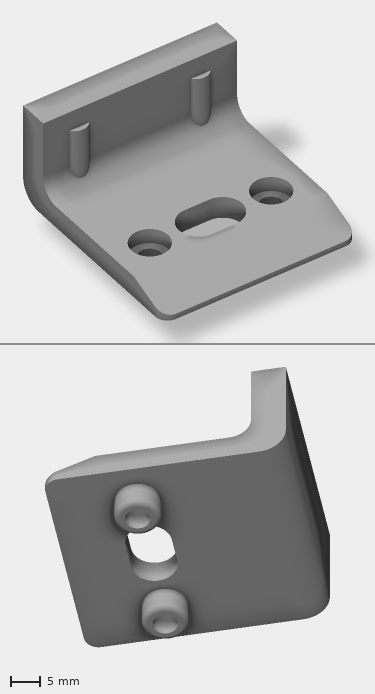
import cadquery as cq

length = 42.0
width = 40.0
wall_height = 20.0
wall_thickness = 6.0
base_thickness = 4.5
outer_bend_radius = 4.5
inner_bend_radius = 3.75

taper_start = 33.0
tip_thickness = 1.15
tip_corner_radius = 2.5

row_x = 27.0
pair_offset = 12.5
peg_diameter = 8.0
peg_length = 4.5
peg_edge_radius = 1.0
recess_diameter = 7.5
recess_depth = 3.0
bore_diameter = 4.35
slot_width = 8.0
slot_length = 13.0

rib_radius = 2.5
rib_projection = 1.0
rib_top = 16.0

pair_positions = [(row_x, -pair_offset), (row_x, pair_offset)]


def make_bracket():
    """L-shaped profile with a rounded bend and a tapered, rounded tip."""
    profile = (
        cq.Workplane("XZ")
        .polyline([
            (0, 0),
            (length, 0),
            (length, tip_thickness),
            (taper_start, base_thickness),
            (wall_thickness, base_thickness),
            (wall_thickness, wall_height),
            (0, wall_height),
        ])
        .close()
    )
    body = profile.extrude(width / 2, both=True)
    inner_corner = cq.selectors.NearestToPointSelector((wall_thickness, 0, base_thickness))
    body = body.edges("|Y").edges(inner_corner).fillet(inner_bend_radius)
    body = body.faces("<Z").edges("<X").fillet(outer_bend_radius)
    return body.faces(">X").edges("|Z").fillet(tip_corner_radius)


def make_pegs():
    """Pegs under the base, rounded at their lower ends."""
    return (
        cq.Workplane("XY")
        .pushPoints(pair_positions)
        .circle(peg_diameter / 2)
        .extrude(-peg_length)
        .faces("<Z")
        .edges()
        .fillet(peg_edge_radius)
    )


def make_ribs():
    """Upright cylinders partly sunk in the wall, standing on the base."""
    rib_x = wall_thickness + rib_projection - rib_radius
    rib_bottom = base_thickness
    return (
        cq.Workplane("XY")
        .workplane(offset=rib_bottom)
        .pushPoints([(rib_x, -pair_offset), (rib_x, pair_offset)])
        .circle(rib_radius)
        .extrude(rib_top - rib_bottom)
    )


def make_counterbores():
    """Through bores along the pegs with wider recesses in the base top."""
    bores = (
        cq.Workplane("XY")
        .workplane(offset=-peg_length)
        .pushPoints(pair_positions)
        .circle(bore_diameter / 2)
        .extrude(peg_length + base_thickness)
    )
    recesses = (
        cq.Workplane("XY")
        .workplane(offset=base_thickness)
        .pushPoints(pair_positions)
        .circle(recess_diameter / 2)
        .extrude(-recess_depth)
    )
    return bores.union(recesses)


def make_slot():
    """Rounded slot through the base, between the pegs."""
    return (
        cq.Workplane("XY")
        .center(row_x, 0)
        .slot2D(slot_length, slot_width, 90)
        .extrude(base_thickness)
    )


result = (
    make_bracket()
    .union(make_pegs())
    .union(make_ribs())
    .cut(make_counterbores())
    .cut(make_slot())
)